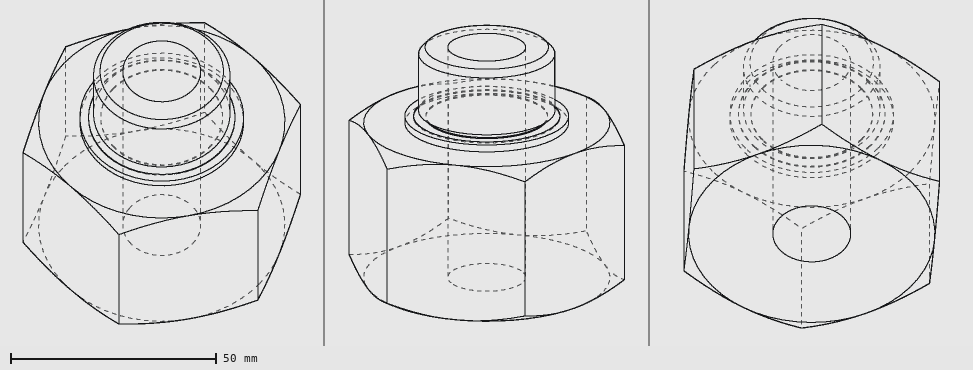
import cadquery as cq
import math

across_corners = 69.3
across_flats = across_corners * math.cos(math.pi / 6)
body_height = 40.3
hex_chamfer_angle = math.radians(30)

collar_diameter = 39.9
collar_height = 1.8
recess_diameter = 35.7
recess_depth = 0.3

total_height = 60.0
stud_diameter = 33.25
tip_diameter = 30.1
tip_chamfer_height = 1.65
root_diameter = 29.7
root_chamfer_height = 1.4

bore_diameter = 19.0

collar_top = body_height + collar_height
recess_floor = collar_top - recess_depth


def revolve_profile(points):
    """Revolve a closed (radius, height) outline about the Z axis."""
    outline = cq.Workplane("XZ").polyline(points).close()
    return outline.revolve(360, (0, 0, 0), (0, 1, 0))


def make_hex_body():
    """Hexagonal prism with its corners trimmed by a cone at each end."""
    prism = (
        cq.Workplane("XY")
        .polygon(6, across_corners)
        .extrude(body_height)
        .rotate((0, 0, 0), (0, 0, 1), 90)
    )
    flat_radius = across_flats / 2
    corner_radius = across_corners / 2
    corner_drop = (corner_radius - flat_radius) * math.tan(hex_chamfer_angle)
    envelope = revolve_profile([
        (0, 0),
        (flat_radius, 0),
        (corner_radius, corner_drop),
        (corner_radius, body_height - corner_drop),
        (flat_radius, body_height),
        (0, body_height),
    ])
    return prism.intersect(envelope)


def make_collar():
    """Raised ring whose inner rim surrounds the root of the stud."""
    return revolve_profile([
        (0, body_height),
        (collar_diameter / 2, body_height),
        (collar_diameter / 2, collar_top),
        (recess_diameter / 2, collar_top),
        (recess_diameter / 2, recess_floor),
        (0, recess_floor),
    ])


def make_stud():
    """Round stud standing on the recess floor."""
    return revolve_profile([
        (0, recess_floor),
        (root_diameter / 2, recess_floor),
        (root_diameter / 2, collar_top),
        (stud_diameter / 2, collar_top + root_chamfer_height),
        (stud_diameter / 2, total_height - tip_chamfer_height),
        (tip_diameter / 2, total_height),
        (0, total_height),
    ])


bore = cq.Workplane("XY").circle(bore_diameter / 2).extrude(total_height)

result = make_hex_body().union(make_collar()).union(make_stud()).cut(bore)